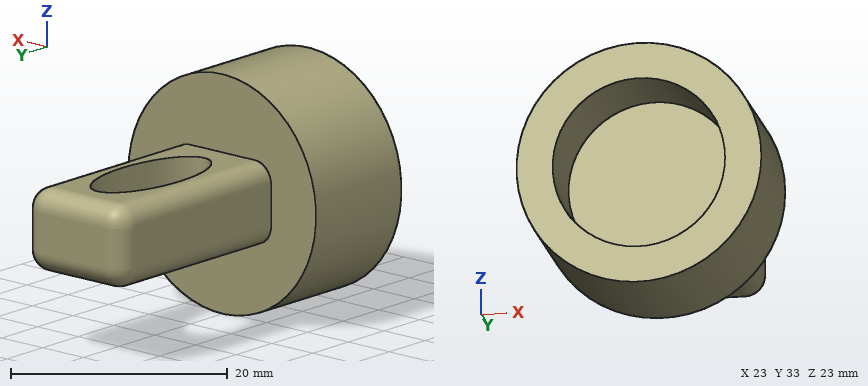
import cadquery as cq

total_length = 33.0
collar_diameter = 23.0
collar_length = 12.0
bore_diameter = 16.2
bore_depth = 8.0
tab_width = 12.0
tab_thickness = 8.0
tab_edge_radius = 2.0
eye_width = 7.0
eye_length = 14.98
eye_tip_gap = 3.5

tab_length = total_length - collar_length
eye_center_y = total_length - eye_tip_gap - eye_length / 2


def cylinder_along_y(diameter, length):
    """Cylinder from the open face at Y = 0 toward +Y."""
    return cq.Workplane("XZ").circle(diameter / 2).extrude(-length)


def rounded_tab():
    """Bar behind the collar, rounded on every edge except where it meets the collar."""
    tab = (
        cq.Workplane("XZ", origin=(0, collar_length, 0))
        .rect(tab_width, tab_thickness)
        .extrude(-tab_length)
    )
    return tab.edges("|Y or >Y").fillet(tab_edge_radius)


def eye_cutter():
    """Elliptical hole through the tab along Z."""
    return (
        cq.Workplane("XY", origin=(0, eye_center_y, -tab_thickness / 2))
        .ellipse(eye_width / 2, eye_length / 2)
        .extrude(tab_thickness)
    )


collar = cylinder_along_y(collar_diameter, collar_length)
bore = cylinder_along_y(bore_diameter, bore_depth)
result = collar.union(rounded_tab()).cut(eye_cutter()).cut(bore)